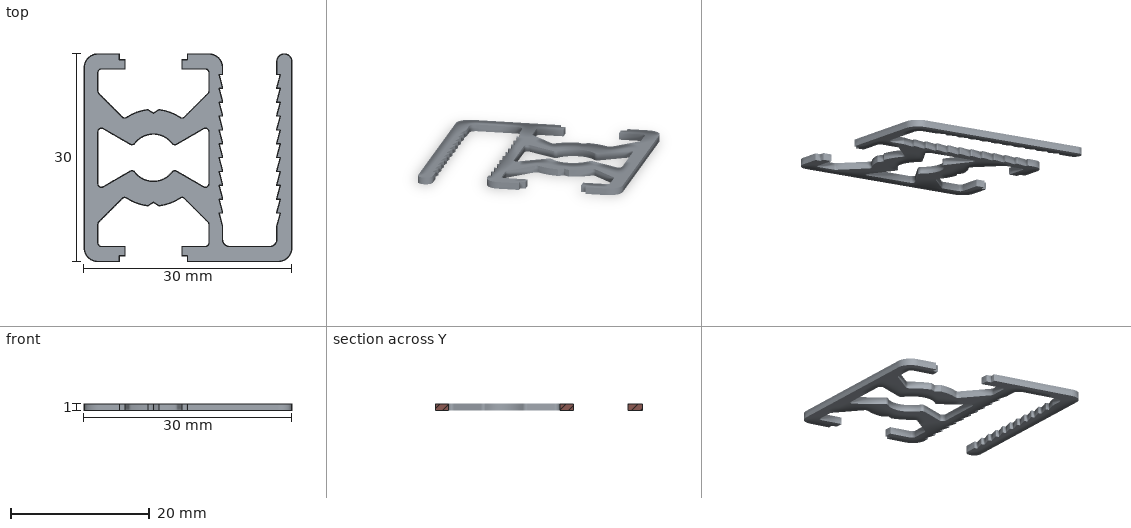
import cadquery as cq
import math

THICKNESS = 1.0
HALF_HEIGHT = 15.0
BODY_HALF_WIDTH = 10.0
ARM_OUTER_X = 20.0
OUTER_RADIUS = 2.0

WALL = 2.0
FLANGE = 2.2
CAVITY_HALF_WIDTH = BODY_HALF_WIDTH - WALL
FLANGE_INNER_Y = HALF_HEIGHT - FLANGE

LIP_TIP_X = 4.1
LIP_STEP_X = 4.9
LIP_STEP_DEPTH = 0.85

CROWN_RADIUS = 7.0
CROWN_EDGE_X = 4.2
CROWN_EDGE_Y = math.sqrt(CROWN_RADIUS**2 - CROWN_EDGE_X**2)
FLANK_TOP_Y = CROWN_EDGE_Y + CAVITY_HALF_WIDTH - CROWN_EDGE_X
NOTCH_BOTTOM_Y = 6.45
NOTCH_HALF_WIDTH = 0.8
NOTCH_TOP_Y = math.sqrt(CROWN_RADIUS**2 - NOTCH_HALF_WIDTH**2)
CHANNEL_CORNER_RADIUS = 0.5
CROWN_EDGE_RADIUS = 0.45

BORE_RADIUS = 3.4
WEDGE_ANGLE = math.radians(30)
WEDGE_OUTER_Y = CAVITY_HALF_WIDTH * math.tan(WEDGE_ANGLE)
CAVITY_CORNER_RADIUS = 0.5

ARM_WIDTH = 2.2
ARM_INNER_X = ARM_OUTER_X - ARM_WIDTH
SLOT_CORNER_RADIUS = 1.0
TOOTH_COUNT = 11
TOOTH_PITCH = 2.0
TOOTH_DEPTH = 0.5
TOOTH_ANGLE = math.radians(15)
TOOTH_RUN = TOOTH_DEPTH / math.tan(TOOTH_ANGLE)
FIRST_TOOTH_Y = 12.0

PICK = 0.01


def corners_at(points):
    """Select the upright edges that stand at the given plan points."""
    selector = None
    for x, y in points:
        box = cq.selectors.BoxSelector((x - PICK, y - PICK, -PICK), (x + PICK, y + PICK, THICKNESS + PICK))
        selector = box if selector is None else selector + box
    return selector


def both_sides(x, y):
    return [(-x, y), (x, y)]


def make_blank():
    """Rounded rectangular plate."""
    width = ARM_OUTER_X + BODY_HALF_WIDTH
    plate = cq.Workplane("XY").box(width, 2 * HALF_HEIGHT, THICKNESS, centered=(False, True, False))
    plate = plate.translate((-BODY_HALF_WIDTH, 0, 0))
    three_corners = [
        (-BODY_HALF_WIDTH, HALF_HEIGHT),
        (-BODY_HALF_WIDTH, -HALF_HEIGHT),
        (ARM_OUTER_X, -HALF_HEIGHT),
    ]
    return plate.edges(corners_at(three_corners)).fillet(OUTER_RADIUS)


def make_channel():
    """Space of the open channel on the +Y side, with its mouth."""
    step_y = HALF_HEIGHT - LIP_STEP_DEPTH
    arc_middle_x = (CROWN_EDGE_X + NOTCH_HALF_WIDTH) / 2
    arc_middle_y = math.sqrt(CROWN_RADIUS**2 - arc_middle_x**2)
    half = (
        cq.Workplane("XY")
        .moveTo(0, HALF_HEIGHT)
        .lineTo(LIP_STEP_X, HALF_HEIGHT)
        .lineTo(LIP_STEP_X, step_y)
        .lineTo(LIP_TIP_X, step_y)
        .lineTo(LIP_TIP_X, FLANGE_INNER_Y)
        .lineTo(CAVITY_HALF_WIDTH, FLANGE_INNER_Y)
        .lineTo(CAVITY_HALF_WIDTH, FLANK_TOP_Y)
        .lineTo(CROWN_EDGE_X, CROWN_EDGE_Y)
        .threePointArc((arc_middle_x, arc_middle_y), (NOTCH_HALF_WIDTH, NOTCH_TOP_Y))
        .lineTo(0, NOTCH_BOTTOM_Y)
        .close()
        .extrude(THICKNESS)
    )
    channel = half.union(half.mirror("YZ"))
    wall_corners = both_sides(CAVITY_HALF_WIDTH, FLANGE_INNER_Y) + both_sides(CAVITY_HALF_WIDTH, FLANK_TOP_Y)
    channel = channel.edges(corners_at(wall_corners)).fillet(CHANNEL_CORNER_RADIUS)
    return channel.edges(corners_at(both_sides(CROWN_EDGE_X, CROWN_EDGE_Y))).fillet(CROWN_EDGE_RADIUS)


def make_central_cavity():
    """Bow-tie opening with a bore at its waist."""
    bow_tie = cq.Workplane("XY").circle(BORE_RADIUS).extrude(THICKNESS)
    for side in (-1, 1):
        outer_x = side * CAVITY_HALF_WIDTH
        wedge = (
            cq.Workplane("XY")
            .polyline([(0, 0), (outer_x, WEDGE_OUTER_Y), (outer_x, -WEDGE_OUTER_Y)])
            .close()
            .extrude(THICKNESS)
        )
        bow_tie = bow_tie.union(wedge)
    waist_x = BORE_RADIUS * math.cos(WEDGE_ANGLE)
    waist_y = BORE_RADIUS * math.sin(WEDGE_ANGLE)
    corners = []
    for sign in (-1, 1):
        corners += both_sides(CAVITY_HALF_WIDTH, sign * WEDGE_OUTER_Y)
        corners += both_sides(waist_x, sign * waist_y)
    return bow_tie.edges(corners_at(corners)).fillet(CAVITY_CORNER_RADIUS)


def tooth_gaps(face_x, inward):
    """Row of sawtooth notches cut into the slot wall at face_x; inward is the X sign into the wall."""
    gaps = cq.Workplane("XY")
    for index in range(TOOTH_COUNT):
        top_y = FIRST_TOOTH_Y - index * TOOTH_PITCH
        root = (face_x + inward * TOOTH_DEPTH, top_y)
        gaps = gaps.polyline([(face_x, top_y), root, (face_x, top_y - TOOTH_RUN)]).close()
    return gaps.extrude(THICKNESS)


def make_slot():
    """Space between the body and the arm, open toward +Y."""
    slot = (
        cq.Workplane("XY")
        .moveTo(BODY_HALF_WIDTH, -FLANGE_INNER_Y)
        .lineTo(ARM_INNER_X, -FLANGE_INNER_Y)
        .lineTo(ARM_INNER_X, HALF_HEIGHT)
        .lineTo(BODY_HALF_WIDTH, HALF_HEIGHT)
        .close()
        .extrude(THICKNESS)
    )
    floor_corners = [(BODY_HALF_WIDTH, -FLANGE_INNER_Y), (ARM_INNER_X, -FLANGE_INNER_Y)]
    return slot.edges(corners_at(floor_corners)).fillet(SLOT_CORNER_RADIUS)


def round_arm_tip(part):
    """Full round on the free end of the arm."""
    radius = ARM_WIDTH / 2
    tip_y = HALF_HEIGHT - radius
    center_x = ARM_OUTER_X - radius
    tip_block = cq.Workplane("XY").center(center_x, tip_y + radius / 2).rect(ARM_WIDTH, radius)
    tip_block = tip_block.extrude(THICKNESS)
    tip_round = cq.Workplane("XY").center(center_x, tip_y).circle(radius).extrude(THICKNESS)
    return part.cut(tip_block.cut(tip_round))


channel = make_channel()
result = make_blank()
result = result.cut(channel).cut(channel.mirror("XZ"))
result = result.cut(make_central_cavity())
result = result.cut(make_slot())
result = result.edges(corners_at([(BODY_HALF_WIDTH, HALF_HEIGHT)])).fillet(OUTER_RADIUS)
result = result.cut(tooth_gaps(BODY_HALF_WIDTH, -1)).cut(tooth_gaps(ARM_INNER_X, 1))
result = round_arm_tip(result)